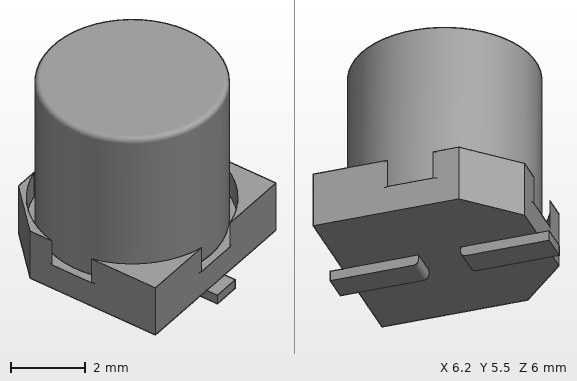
import cadquery as cq

base_width = 5.5
base_height = 1.62
corner_cut = base_width / 4
recess_diameter = 5.65
recess_floor_height = 0.8

can_diameter = 5.2
can_edge_radius = 0.15

lead_span = 6.2
lead_gap = 1.19
lead_width = 0.82
lead_thickness = 0.3
lead_bend_radius = 0.15

total_height = 6.0
can_bottom = lead_thickness + recess_floor_height
can_height = total_height - can_bottom


def make_base():
    """Square base with two cut corners on -X and a round recess that breaks through its four sides."""
    base = (
        cq.Workplane("XY")
        .workplane(offset=lead_thickness)
        .rect(base_width, base_width)
        .extrude(base_height)
        .edges("|Z and <X")
        .chamfer(corner_cut)
    )
    recess = (
        cq.Workplane("XY")
        .workplane(offset=can_bottom)
        .circle(recess_diameter / 2)
        .extrude(base_height - recess_floor_height)
    )
    return base.cut(recess)


def make_can():
    """Cylinder with rounded rims, standing on the recess floor."""
    return (
        cq.Workplane("XY")
        .workplane(offset=can_bottom)
        .circle(can_diameter / 2)
        .extrude(can_height)
        .edges("%CIRCLE")
        .fillet(can_edge_radius)
    )


def make_lead(side):
    """Flat lead under the base; side is -1 or +1 along X, with the inner lower edge rounded."""
    lead_length = (lead_span - lead_gap) / 2
    lead_center = side * (lead_span + lead_gap) / 4
    inner_end = "<X" if side > 0 else ">X"
    return (
        cq.Workplane("XY")
        .center(lead_center, 0)
        .rect(lead_length, lead_width)
        .extrude(lead_thickness)
        .faces(inner_end)
        .edges("<Z")
        .fillet(lead_bend_radius)
    )


base = make_base()
can = make_can()
leads = [make_lead(side).val() for side in (-1, 1)]

result = cq.Compound.makeCompound([base.val(), can.val(), *leads])